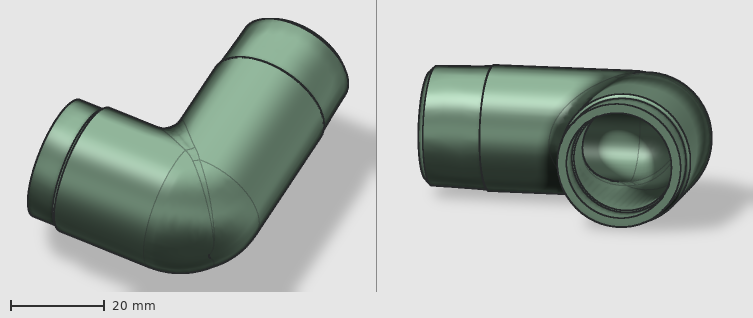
import cadquery as cq
import math

length_x = 46.5
length_y = 62.2
inlet_radius = 28.4 / 2
outlet_radius = 27.0 / 2
inlet_bore_radius = 22.0 / 2
outlet_bore_radius = 20.6 / 2
wall = inlet_radius - inlet_bore_radius
elbow_radius = 18.3
crotch_radius = 5.0
cavity_blend_radius = crotch_radius + wall

spigot_radius = 26.9 / 2
spigot_length = 6.0
shoulder_chamfer = inlet_radius - spigot_radius
socket_radius = 22.9 / 2
socket_depth = 6.0

taper_length = 13.7
taper_base_radius = 26.5 / 2
taper_tip_radius = 25.7 / 2
tip_chamfer = 1.25

seam_offset = 0.05
outlet_axis_x = length_x - outlet_radius
outlet_end_y = length_y - inlet_radius
inlet_dome_x = length_x - elbow_radius - seam_offset
outlet_dome_y = elbow_radius - inlet_radius + seam_offset


def domed_arm(outline, radius, straight_length, arc_radius):
    """Revolve (distance, radius) points about X and close the far end with a pointed dome."""
    arc_center = radius - arc_radius
    tip_angle = math.asin(-arc_center / arc_radius)
    middle_angle = (tip_angle + math.pi / 2) / 2

    def on_arc(angle):
        distance = straight_length + arc_radius * math.cos(angle)
        return distance, arc_center + arc_radius * math.sin(angle)

    return (
        cq.Workplane("XY")
        .polyline([(0, 0)] + outline + [(straight_length, radius)])
        .threePointArc(on_arc(middle_angle), on_arc(tip_angle))
        .close()
        .revolve(360, (0, 0), (1, 0))
    )


def elbow(inlet_outline, inlet_r, outlet_outline, outlet_r, arc_radius, blend_radius):
    """Join an inlet and an outlet arm and round the seam between them."""
    inlet = domed_arm(inlet_outline, inlet_r, inlet_dome_x, arc_radius)
    inlet = inlet.rotate((0, 0, 0), (1, 0, 0), 180)
    outlet = domed_arm(outlet_outline, outlet_r, outlet_end_y - outlet_dome_y, arc_radius)
    outlet = outlet.rotate((0, 0, 0), (0, 0, 1), -90)
    outlet = outlet.translate((outlet_axis_x, outlet_end_y, 0))
    return inlet.union(outlet).edges("(not %CIRCLE) and (not %LINE)").fillet(blend_radius)


body = elbow(
    [
        (0, spigot_radius),
        (spigot_length, spigot_radius),
        (spigot_length + shoulder_chamfer, inlet_radius),
    ],
    inlet_radius,
    [
        (0, taper_tip_radius - tip_chamfer),
        (tip_chamfer, taper_tip_radius),
        (taper_length, taper_base_radius),
        (taper_length, outlet_radius),
    ],
    outlet_radius,
    elbow_radius,
    crotch_radius,
)

passage = elbow(
    [
        (0, socket_radius),
        (socket_depth, socket_radius),
        (socket_depth, inlet_bore_radius),
    ],
    inlet_bore_radius,
    [(0, outlet_bore_radius)],
    outlet_bore_radius,
    elbow_radius - wall,
    cavity_blend_radius,
)

result = body.cut(passage)